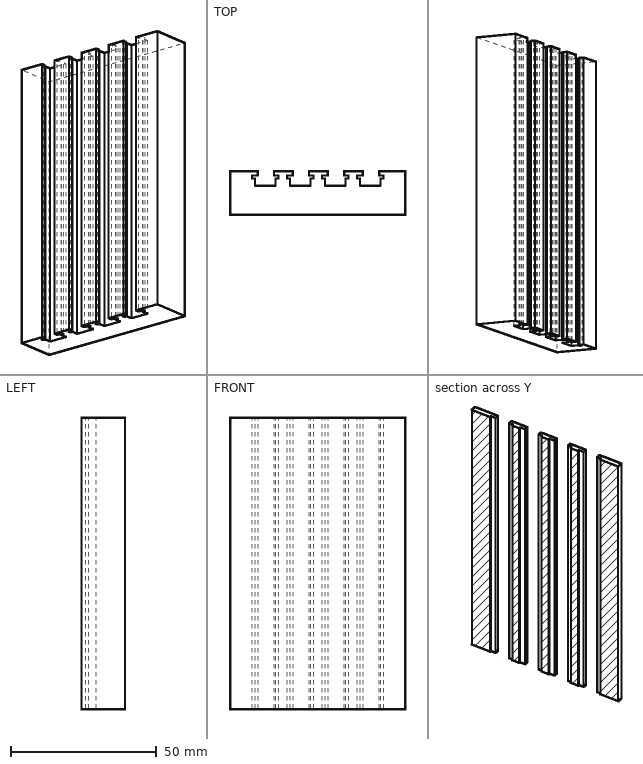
import cadquery as cq

width = 60.0
thickness = 15.0
height = 100.0

slot_count = 4
slot_pitch = 12.0
mouth_width = 5.5
mouth_offset = 0.25
undercut_width = 9.0
channel_width = 7.0
lip_thickness = 1.5
undercut_bottom_depth = 2.5
slot_depth = 5.0

back_y = thickness / 2


def slot_layer(center_x, layer_width, top_depth, bottom_depth):
    """Full-height box between two depths below the back face."""
    layer_depth = bottom_depth - top_depth
    middle_y = back_y - (top_depth + bottom_depth) / 2
    return cq.Workplane("XY").box(layer_width, layer_depth, height).translate((center_x, middle_y, 0))


def undercut_slot(center_x):
    """Narrow mouth, wide undercut behind the lips, then a plain channel."""
    mouth = slot_layer(center_x + mouth_offset, mouth_width, 0, lip_thickness)
    undercut = slot_layer(center_x, undercut_width, lip_thickness, undercut_bottom_depth)
    channel = slot_layer(center_x, channel_width, undercut_bottom_depth, slot_depth)
    return mouth.union(undercut).union(channel)


result = cq.Workplane("XY").box(width, thickness, height)

for index in range(slot_count):
    slot_x = (index - (slot_count - 1) / 2) * slot_pitch
    result = result.cut(undercut_slot(slot_x))